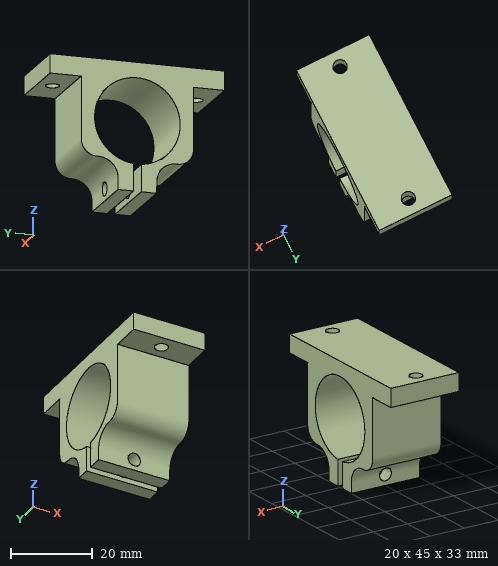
import cadquery as cq

length = 45.0
width = 20.0
plate_thickness = 5.0
total_height = 33.0

body_length = 29.0
body_bottom = -25.0
body_corner_radius = 4.0
bore_diameter = 22.0
bore_axis_z = -15.0

lugs_length = 10.0
lug_root_radius = 5.0
lug_root_z = body_bottom - lug_root_radius
slot_width = 2.0

hole_diameter = 3.4
plate_hole_edge_distance = 4.0
plate_hole_y = length / 2 - plate_hole_edge_distance
clamp_hole_z = lug_root_z


def block(size_y, top, bottom):
    """Full-width block centred on Y, spanning the given heights."""
    return (
        cq.Workplane("XY", origin=(0, 0, bottom))
        .box(width, size_y, top - bottom, centered=(True, True, False))
    )


def lug_root_fillet(side):
    """Concave fillet between the body underside and one lug flank."""
    lug_y = side * lugs_length / 2
    outer_y = lug_y + side * lug_root_radius
    corner = (
        cq.Workplane("YZ", origin=(-width / 2, 0, 0))
        .moveTo((lug_y + outer_y) / 2, (body_bottom + lug_root_z) / 2)
        .rect(lug_root_radius, lug_root_radius)
        .extrude(width)
    )
    round_cut = (
        cq.Workplane("YZ", origin=(-width / 2, 0, 0))
        .center(outer_y, lug_root_z)
        .circle(lug_root_radius)
        .extrude(width)
    )
    return corner.cut(round_cut)


plate = block(length, 0, -plate_thickness)
body = block(body_length, 0, body_bottom).edges("|X and <Z").fillet(body_corner_radius)
lugs = block(lugs_length, body_bottom, -total_height)
clamp = plate.union(body).union(lugs)
for side in (-1, 1):
    clamp = clamp.union(lug_root_fillet(side))

bore = (
    cq.Workplane("YZ", origin=(-width / 2, 0, 0))
    .center(0, bore_axis_z)
    .circle(bore_diameter / 2)
    .extrude(width)
)
slot = block(slot_width, bore_axis_z, -total_height)

plate_holes = (
    cq.Workplane("XY")
    .pushPoints([(0, -plate_hole_y), (0, plate_hole_y)])
    .circle(hole_diameter / 2)
    .extrude(-plate_thickness)
)

clamp_hole = (
    cq.Workplane("XZ", origin=(0, body_length / 2, 0))
    .center(0, clamp_hole_z)
    .circle(hole_diameter / 2)
    .extrude(body_length)
)

result = clamp.cut(bore).cut(slot).cut(plate_holes).cut(clamp_hole)